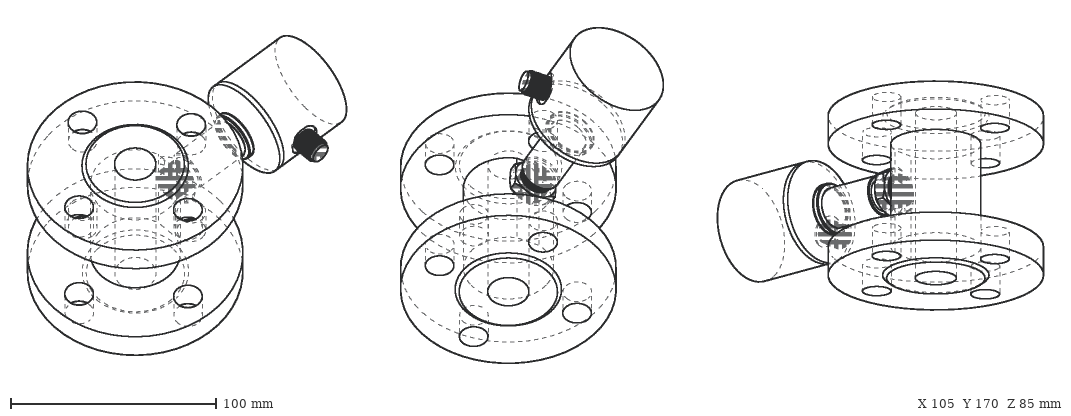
import cadquery as cq
import math

overall_length = 170.0

spool_length = 85.0
flange_diameter = 105.0
flange_thickness = 14.5
raised_face_diameter = 48.0
raised_face_base_diameter = 51.8
raised_face_height = 1.5
pipe_diameter = 43.9
pipe_flat_y = 21.0
bore_diameter = 20.0
bolt_hole_diameter = 14.0
bolt_circle_diameter = 75.0
bolt_count = 4

sensor_z = 7.6
sensor_end_y = overall_length - flange_diameter / 2
edge_chamfer = 0.5

thread_pitch = 1.0
thread_depth = 0.5
flank_steps = 12

stem_diameter = 20.0
stem_end_y = 34.3
stem_thread_diameter = 16.0
stem_thread_start_y = 31.8

nut_sides = 6
nut_across_flats = 22.0
nut_thickness = 6.3
nut_y = 23.5
nut_chamfer_angle = 30.0
nut_turn = 30.0

collar_diameter = 25.2
collar_y = 64.6
collar_length = 3.0

housing_diameter = 51.0
base_y = collar_y + collar_length
cone_length = 5.1
base_rim_length = 2.7
cover_y = base_y + cone_length + base_rim_length

connector_y = 89.5
recess_diameter = 16.0
recess_floor_x = 24.3
connector_end_x = 36.7
connector_neck_diameter = 11.5
connector_neck_end_x = 25.0
connector_thread_diameter = 12.0
connector_thread_end_x = 35.0
connector_tip_diameter = 10.0


def sensor_plane(y):
    """Plane on the sensor axis, with its normal along +Y."""
    return cq.Plane(origin=(0, y, sensor_z), xDir=(1, 0, 0), normal=(0, 1, 0))


def cylinder(plane, diameter, length):
    return cq.Workplane(plane).circle(diameter / 2).extrude(length)


def frustum(plane, start_diameter, end_diameter, length):
    return (
        cq.Workplane(plane)
        .circle(start_diameter / 2)
        .workplane(offset=length)
        .circle(end_diameter / 2)
        .loft(ruled=True)
    )


def threaded_rod(plane, diameter, length):
    """Rod along the plane's normal, made by twisting a section one turn per pitch.

    The section's radius falls evenly from crest to root over half a turn and rises evenly
    over the other half, which makes a single-start thread with a V profile.
    """
    crest_radius = diameter / 2

    def flank_point(step, side):
        fraction = step / flank_steps
        radius = crest_radius - thread_depth * fraction
        angle = side * math.pi * fraction
        return (radius * math.cos(angle), radius * math.sin(angle))

    falling_flank = [flank_point(step, 1) for step in range(flank_steps + 1)]
    rising_flank = [flank_point(step, -1) for step in reversed(range(flank_steps + 1))]
    return (
        cq.Workplane(plane)
        .spline(falling_flank)
        .spline(rising_flank)
        .close()
        .twistExtrude(length, 360 * length / thread_pitch)
    )


def make_spool():
    pipe = cylinder(cq.Plane.XY(), pipe_diameter, spool_length / 2)
    flat_cutter = (
        cq.Workplane("XY")
        .center(0, pipe_flat_y + pipe_diameter / 2)
        .rect(pipe_diameter, pipe_diameter)
        .extrude(spool_length / 2)
    )
    flange_top_z = spool_length / 2 - raised_face_height
    flange = (
        cq.Workplane("XY", origin=(0, 0, flange_top_z - flange_thickness))
        .circle(flange_diameter / 2)
        .extrude(flange_thickness)
        .faces(">Z").workplane()
        .polarArray(bolt_circle_diameter / 2, 0, 360, bolt_count)
        .hole(bolt_hole_diameter)
    )
    raised_face = frustum(
        cq.Plane((0, 0, flange_top_z)), raised_face_base_diameter, raised_face_diameter, raised_face_height
    )
    upper_half = pipe.cut(flat_cutter).union(flange).union(raised_face)
    spool = upper_half.union(upper_half.mirror("XY"))
    return spool.faces(">Z").workplane().hole(bore_diameter)


def make_stem():
    shank = cylinder(sensor_plane(stem_end_y), stem_diameter, collar_y - stem_end_y)
    shank = shank.faces("<Y or >Y").chamfer(edge_chamfer)
    neck_length = stem_end_y - stem_thread_start_y
    neck = cylinder(sensor_plane(stem_thread_start_y), stem_thread_diameter, neck_length)
    thread = threaded_rod(
        sensor_plane(pipe_flat_y), stem_thread_diameter, stem_thread_start_y - pipe_flat_y
    )
    return thread.union(neck).union(shank)


def make_nut():
    corner_diameter = nut_across_flats / math.cos(math.pi / nut_sides)
    chamfer_radial = (corner_diameter - nut_across_flats) / 2
    chamfer_axial = chamfer_radial * math.tan(math.radians(nut_chamfer_angle))
    blank = (
        cq.Workplane(sensor_plane(nut_y))
        .transformed(rotate=(0, 0, nut_turn))
        .polygon(nut_sides, corner_diameter)
        .extrude(nut_thickness)
    )
    half_width = corner_diameter / 2
    chamfer_envelope = (
        cq.Workplane("XY")
        .polyline([
            (0, 0),
            (half_width - chamfer_radial, 0),
            (half_width, chamfer_axial),
            (half_width, nut_thickness - chamfer_axial),
            (half_width - chamfer_radial, nut_thickness),
            (0, nut_thickness),
        ])
        .close()
        .revolve(360, (0, 0, 0), (0, 1, 0))
        .translate((0, nut_y, sensor_z))
    )
    hole = cylinder(sensor_plane(nut_y), stem_thread_diameter, nut_thickness)
    return blank.intersect(chamfer_envelope).cut(hole)


def make_collar():
    collar = cylinder(sensor_plane(collar_y), collar_diameter, collar_length)
    return collar.faces("<Y or >Y").chamfer(edge_chamfer)


def make_base():
    rim_y = base_y + cone_length
    cone = frustum(sensor_plane(base_y), collar_diameter, housing_diameter, cone_length)
    return cone.union(cylinder(sensor_plane(rim_y), housing_diameter, base_rim_length))


def connector_plane(x):
    """Plane on the connector axis, with its normal along +X."""
    return cq.Plane(origin=(x, connector_y, sensor_z), xDir=(0, 1, 0), normal=(1, 0, 0))


def make_cover():
    cover = cylinder(sensor_plane(cover_y), housing_diameter, sensor_end_y - cover_y)
    recess = cylinder(connector_plane(recess_floor_x), recess_diameter, housing_diameter / 2)
    return cover.cut(recess)


def make_connector():
    neck = cylinder(
        connector_plane(recess_floor_x), connector_neck_diameter, connector_neck_end_x - recess_floor_x
    )
    thread = threaded_rod(
        connector_plane(connector_neck_end_x),
        connector_thread_diameter,
        connector_thread_end_x - connector_neck_end_x,
    )
    tip = cylinder(
        connector_plane(connector_thread_end_x),
        connector_tip_diameter,
        connector_end_x - connector_thread_end_x,
    )
    return neck.union(thread).union(tip)


spool = make_spool()
stem = make_stem()
nut = make_nut()
collar = make_collar()
base = make_base()
cover = make_cover()
connector = make_connector()

result = cq.Compound.makeCompound([
    spool.val(),
    stem.val(),
    nut.val(),
    collar.val(),
    base.val(),
    cover.val(),
    connector.val(),
])